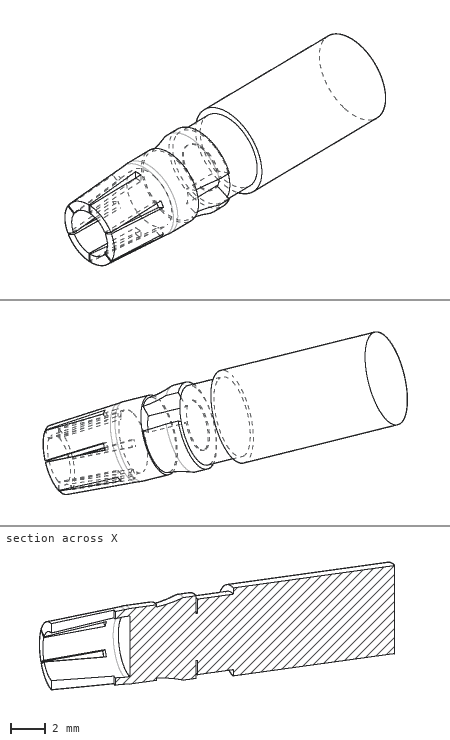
import cadquery as cq
import math

total_length = 21.35
tip_y = -total_length / 2
back_y = total_length / 2

slot_length = 3.95
taper_length = 4.53
band_edge = 4.85
front_band_end = 6.53
collar_start = 8.2
collar_end = 8.99
neck_start = 9.07
sleeve_start = 11.3

tip_diameter = 4.18
taper_diameter = 4.75
body_diameter = 4.8
waist_diameter = 4.53
collar_diameter = 5.25
groove_diameter = 3.0
sleeve_diameter = 5.6

waist_arc_sag = 0.053

collar_gap_angle = 43.0

mouth_diameter = 3.0
bore_diameter = 3.8
bore_depth = band_edge

slot_count = 6
slot_root_width = 0.43
slot_tip_width = 0.09


def profile_point(diameter, distance):
    """Point on the half section: radius along X, distance from the tip along Y."""
    return (diameter / 2, tip_y + distance)


def revolve_about_y(profile):
    return profile.close().revolve(360, (0, 0, 0), (0, 1, 0))


def make_body():
    arc_middle_diameter = (waist_diameter + collar_diameter) / 2 - 2 * waist_arc_sag
    arc_middle = (front_band_end + collar_start) / 2
    profile = (
        cq.Workplane("XY")
        .moveTo(0, tip_y)
        .lineTo(*profile_point(tip_diameter, 0))
        .lineTo(*profile_point(taper_diameter, taper_length))
        .lineTo(*profile_point(body_diameter, band_edge))
        .lineTo(*profile_point(body_diameter, front_band_end))
        .lineTo(*profile_point(waist_diameter, front_band_end))
        .threePointArc(
            profile_point(arc_middle_diameter, arc_middle),
            profile_point(collar_diameter, collar_start),
        )
        .lineTo(*profile_point(collar_diameter, collar_end))
        .lineTo(*profile_point(groove_diameter, collar_end))
        .lineTo(*profile_point(groove_diameter, neck_start))
        .lineTo(*profile_point(body_diameter, neck_start))
        .lineTo(*profile_point(body_diameter, sleeve_start))
        .lineTo(*profile_point(sleeve_diameter, sleeve_start))
        .lineTo(*profile_point(sleeve_diameter, total_length))
        .lineTo(0, back_y)
    )
    return revolve_about_y(profile)


def make_bore():
    profile = (
        cq.Workplane("XY")
        .moveTo(0, tip_y)
        .lineTo(*profile_point(mouth_diameter, 0))
        .lineTo(*profile_point(bore_diameter, taper_length))
        .lineTo(*profile_point(bore_diameter, bore_depth))
        .lineTo(0, tip_y + bore_depth)
    )
    return revolve_about_y(profile)


def make_slot(angle):
    """Wedge running radially outwards from the axis, turned about Y."""
    return (
        cq.Workplane("XY")
        .polyline([
            (-slot_tip_width / 2, tip_y),
            (slot_tip_width / 2, tip_y),
            (slot_root_width / 2, tip_y + slot_length),
            (-slot_root_width / 2, tip_y + slot_length),
        ])
        .close()
        .extrude(sleeve_diameter / 2)
        .rotate((0, 0, 0), (0, 1, 0), angle)
    )


def make_collar_gap():
    """Wedge opening the collar down to the groove floor."""
    reach = sleeve_diameter
    half_width = reach * math.tan(math.radians(collar_gap_angle / 2))
    collar_length = collar_end - front_band_end
    wedge = (
        cq.Workplane("XZ", origin=(0, tip_y + front_band_end, 0))
        .polyline([(0, 0), (reach, -half_width), (reach, half_width)])
        .close()
        .extrude(-collar_length)
    )
    core = (
        cq.Workplane("XZ", origin=(0, tip_y + front_band_end, 0))
        .circle(groove_diameter / 2)
        .extrude(-collar_length)
    )
    return wedge.cut(core)


result = make_body().cut(make_bore()).cut(make_collar_gap())
for index in range(slot_count):
    result = result.cut(make_slot(index * 360 / slot_count))